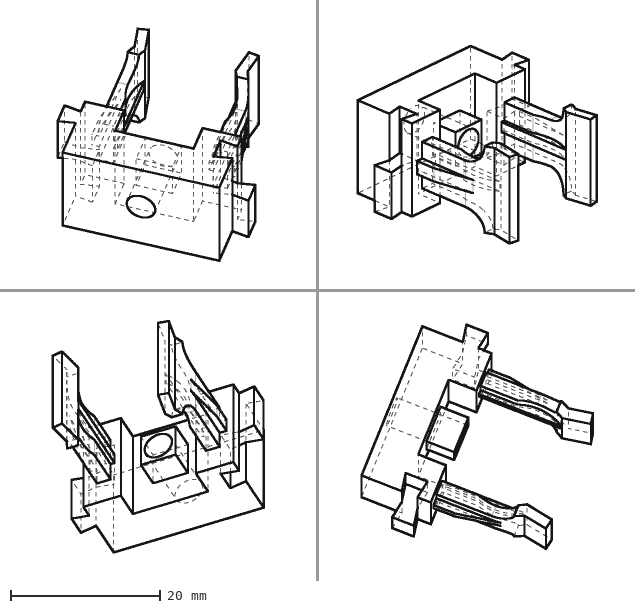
import cadquery as cq
import math

BODY_WIDTH = 22.0
BODY_DEPTH = 10.0
BODY_HEIGHT = 14.0
SLOT_WIDTH = 11.0
SLOT_FLOOR_Y = 6.0
BOSS_SIZE = 5.1
HOLE_DIAMETER = 4.0

DOVETAIL_Y = 6.95
DOVETAIL_NECK = 2.27
DOVETAIL_ANGLE = math.radians(10)
TONGUE_LENGTH = 2.4
GROOVE_DEPTH = 2.5

TUBE_RADIUS = 7.5
TUBE_CENTER_Y = 18.0
ARM_THICKNESS = 1.5
ARM_OUTER_RADIUS = TUBE_RADIUS + ARM_THICKNESS
STEM_INNER_X = 7.0
ARM_HEIGHT = 13.0
STEM_HEIGHT = 7.0
NECK_RADIUS = (ARM_HEIGHT - STEM_HEIGHT) / 2

LIP_ANGLE = math.radians(10)
LIP_OFFSET = 5.56
LIP_REACH = 8.97

OUTER_RIB_THICKNESS = 2.0
OUTER_RIB_X = 10.0
RIB_SHOULDER_Y = 13.1
RIB_TIP_Y = 19.25
INNER_RIB_THICKNESS = 1.5
INNER_RIB_X = 6.42


def make_body():
    """U-shaped block with a drilled square boss on the slot floor."""
    body = cq.Workplane("XY").box(
        BODY_WIDTH, BODY_DEPTH, BODY_HEIGHT, centered=(True, False, True)
    )
    slot_depth = BODY_DEPTH - SLOT_FLOOR_Y
    slot = (
        cq.Workplane("XY")
        .box(SLOT_WIDTH, slot_depth, BODY_HEIGHT, centered=(True, False, True))
        .translate((0, SLOT_FLOOR_Y, 0))
    )
    boss = (
        cq.Workplane("XY")
        .box(BOSS_SIZE, slot_depth, BOSS_SIZE, centered=(True, False, True))
        .translate((0, SLOT_FLOOR_Y, 0))
    )
    hole = cq.Workplane("XZ").circle(HOLE_DIAMETER / 2).extrude(-BODY_DEPTH)
    return body.cut(slot).union(boss).cut(hole)


def make_dovetail(length):
    """Half-height dovetail above z = 0, widening from its neck on x = 0 towards +X."""
    neck_half = DOVETAIL_NECK / 2
    end_half = neck_half + length * math.tan(DOVETAIL_ANGLE)
    return (
        cq.Workplane("XY")
        .polyline([(0, -neck_half), (length, -end_half), (length, end_half), (0, neck_half)])
        .close()
        .extrude(BODY_HEIGHT / 2)
        .translate((0, DOVETAIL_Y, 0))
    )


def lip_point(offset, reach):
    """Point on the +X lip: offset across the lip and reach along it, from the tube centre."""
    x = offset * math.cos(LIP_ANGLE) + reach * math.sin(LIP_ANGLE)
    y = TUBE_CENTER_Y - offset * math.sin(LIP_ANGLE) + reach * math.cos(LIP_ANGLE)
    return (x, y)


def lip_root(offset, radius):
    """Point where a lip face meets the circle of the given radius round the tube centre."""
    return lip_point(offset, math.sqrt(radius**2 - offset**2))


def make_arm_plate():
    """Arm on the +X side: straight stem, tube seat and flared lip, waisted at the stem."""
    lip_outer_offset = LIP_OFFSET + ARM_THICKNESS
    inner_root = lip_root(LIP_OFFSET, TUBE_RADIUS)
    outer_root = lip_root(lip_outer_offset, ARM_OUTER_RADIUS)
    outer_root_angle = math.atan2(outer_root[1] - TUBE_CENTER_Y, outer_root[0])
    outer_mid = (
        ARM_OUTER_RADIUS * math.cos(outer_root_angle / 2),
        TUBE_CENTER_Y + ARM_OUTER_RADIUS * math.sin(outer_root_angle / 2),
    )
    seat_start_y = TUBE_CENTER_Y - math.sqrt(TUBE_RADIUS**2 - STEM_INNER_X**2)

    plate = (
        cq.Workplane("XY")
        .moveTo(STEM_INNER_X, BODY_DEPTH)
        .lineTo(ARM_OUTER_RADIUS, BODY_DEPTH)
        .lineTo(ARM_OUTER_RADIUS, TUBE_CENTER_Y)
        .threePointArc(outer_mid, outer_root)
        .lineTo(*lip_point(lip_outer_offset, LIP_REACH))
        .lineTo(*lip_point(LIP_OFFSET, LIP_REACH))
        .lineTo(*inner_root)
        .threePointArc((TUBE_RADIUS, TUBE_CENTER_Y), (STEM_INNER_X, seat_start_y))
        .close()
        .extrude(ARM_HEIGHT / 2, both=True)
    )

    waist = (
        cq.Workplane("YZ")
        .moveTo(BODY_DEPTH, STEM_HEIGHT / 2)
        .lineTo(TUBE_CENTER_Y, STEM_HEIGHT / 2)
        .radiusArc((TUBE_CENTER_Y + NECK_RADIUS, ARM_HEIGHT / 2), -NECK_RADIUS)
        .lineTo(BODY_DEPTH, ARM_HEIGHT / 2)
        .close()
        .extrude(BODY_WIDTH / 2)
    )
    return plate.cut(waist).cut(waist.mirror("XY"))


def make_outer_rib():
    """Rib outside the +X arm, tapering until it runs out on the round outer face."""
    tip_x = math.sqrt(ARM_OUTER_RADIUS**2 - (RIB_TIP_Y - TUBE_CENTER_Y) ** 2)
    return (
        cq.Workplane("XY")
        .moveTo(TUBE_RADIUS, BODY_DEPTH)
        .lineTo(OUTER_RIB_X, BODY_DEPTH)
        .lineTo(OUTER_RIB_X, RIB_SHOULDER_Y)
        .lineTo(tip_x, RIB_TIP_Y)
        .lineTo(TUBE_RADIUS, RIB_TIP_Y)
        .close()
        .extrude(OUTER_RIB_THICKNESS / 2, both=True)
    )


def make_inner_rib():
    """Rib inside the +X arm, with a straight inner face that runs out in the tube seat."""
    tip_y = TUBE_CENTER_Y + math.sqrt(TUBE_RADIUS**2 - INNER_RIB_X**2)
    return (
        cq.Workplane("XY")
        .moveTo(INNER_RIB_X, BODY_DEPTH)
        .lineTo(ARM_OUTER_RADIUS, BODY_DEPTH)
        .lineTo(ARM_OUTER_RADIUS, TUBE_CENTER_Y)
        .lineTo(INNER_RIB_X, tip_y)
        .close()
        .extrude(INNER_RIB_THICKNESS / 2, both=True)
    )


def add_dovetails(body):
    """Tongue on the lower right and upper left, groove on the upper right and lower left."""
    side_x = BODY_WIDTH / 2
    tongue = make_dovetail(TONGUE_LENGTH).mirror("XY").translate((side_x, 0, 0))
    groove = make_dovetail(GROOVE_DEPTH).mirror("YZ").translate((side_x, 0, 0))
    for turn in (False, True):
        if turn:
            tongue = tongue.mirror("XY").mirror("YZ")
            groove = groove.mirror("XY").mirror("YZ")
        body = body.union(tongue).cut(groove)
    return body


arm = make_arm_plate().union(make_outer_rib()).union(make_inner_rib())
result = add_dovetails(make_body()).union(arm).union(arm.mirror("YZ"))